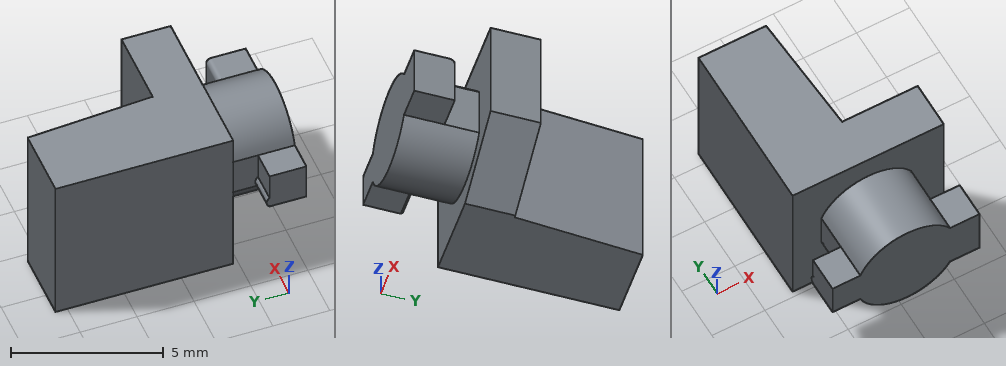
import cadquery as cq
import math

body_width = 5.7
half_width = body_width / 2
total_length = 8.83
shaft_length = 2.59
base_thickness = 1.73
arm_end_width = 2.55
arm_root_width = 2.85
bevel_start_x = 0.08
bevel_angle = 30.0

shaft_radius = 1.9
left_tab_height = 1.395
left_tab_reach = 2.82
left_tab_depth = 1.3
right_tab_height = 1.995
right_tab_reach = 2.73
right_tab_depth = 1.395
right_tab_fillet = 0.19

ridge_width = 0.4
ridge_rise = 0.1


def flat_distance(tab_height):
    """Distance from the shaft axis to a flat as wide as the tab is high."""
    return math.sqrt(shaft_radius**2 - (tab_height / 2) ** 2)


def make_body():
    base_back = shaft_length + base_thickness
    body = (
        cq.Workplane("XY", origin=(0, 0, -half_width))
        .moveTo(-half_width, shaft_length)
        .lineTo(half_width, shaft_length)
        .lineTo(half_width, base_back)
        .lineTo(arm_root_width - half_width, base_back)
        .lineTo(arm_end_width - half_width, total_length)
        .lineTo(-half_width, total_length)
        .close()
        .extrude(body_width)
    )
    bevel_rise = (half_width - bevel_start_x) * math.tan(math.radians(bevel_angle))
    bevel = (
        cq.Workplane("XZ")
        .moveTo(bevel_start_x, -half_width)
        .lineTo(half_width, -half_width)
        .lineTo(half_width, bevel_rise - half_width)
        .close()
        .extrude(-total_length)
    )
    return body.cut(bevel)


def make_shaft():
    left_flat = -flat_distance(left_tab_height)
    right_flat = flat_distance(right_tab_height)
    between_flats = cq.Workplane("XY").box(
        right_flat - left_flat, shaft_length, 2 * shaft_radius, centered=(False, False, True)
    ).translate((left_flat, 0, 0))
    return cq.Workplane("XZ").circle(shaft_radius).extrude(-shaft_length).intersect(between_flats)


def make_left_tab():
    half_height = left_tab_height / 2
    return (
        cq.Workplane("YZ", origin=(-left_tab_reach, 0, 0))
        .moveTo(0, -half_height)
        .lineTo(left_tab_depth, -half_height)
        .threePointArc(
            (left_tab_depth + ridge_rise, ridge_width / 2 - half_height),
            (left_tab_depth, ridge_width - half_height),
        )
        .lineTo(left_tab_depth, half_height)
        .lineTo(0, half_height)
        .close()
        .extrude(left_tab_reach)
    )


def make_right_tab():
    tab = cq.Workplane("XY").box(
        right_tab_reach, right_tab_depth, right_tab_height, centered=(False, False, True)
    )
    return tab.edges(">Y and >Z").fillet(right_tab_fillet)


result = make_body().union(make_shaft()).union(make_left_tab()).union(make_right_tab())